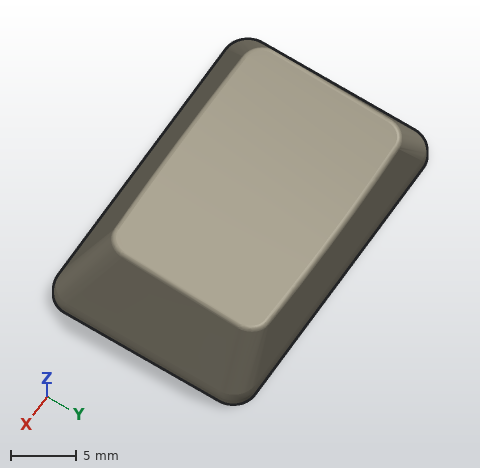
import cadquery as cq
import math

length = 27.7
width = 18.16
base_corner_radius = 2.0
skirt_height = 0.66
blend_top_height = 1.33

wall_bend_height = (skirt_height + blend_top_height) / 2

side_lean = 25.6
front_lean = 28.0
back_lean = 5.0
loft_top_height = 8.85
loft_corner_radius = 1.77

dish_radius = 80.3
dish_tilt = 3.2
dish_center_height = 6.8
dish_reach = 55.38

rim_search_height = 5.55
top_edge_radius = 0.42


def rounded_rectangle(x_size, y_size, corner_radius):
    return cq.Sketch().rect(x_size, y_size).vertices().fillet(corner_radius)


def wall_section(height, lean_height, tilt=0.0):
    """Rounded outline in a plane crossing the Z axis at height and dropping toward the back by tilt.

    The walls are moved in by lean_height of straight lean, corrected where the tilt
    lifts the front edge and lowers the back edge.
    """
    drop = math.tan(math.radians(tilt))
    side_slope = math.tan(math.radians(side_lean))
    front_slope = math.tan(math.radians(front_lean))
    back_slope = math.tan(math.radians(back_lean))
    front_lean_height = (lean_height + drop * width / 2) / (1 + drop * front_slope)
    back_lean_height = (lean_height - drop * width / 2) / (1 - drop * back_slope)
    front_y = -width / 2 + front_slope * front_lean_height
    back_y = width / 2 - back_slope * back_lean_height
    center_y = (front_y + back_y) / 2

    taper = lean_height / (loft_top_height - wall_bend_height)
    corner_radius = base_corner_radius + taper * (loft_corner_radius - base_corner_radius)
    outline = rounded_rectangle(
        length - 2 * side_slope * lean_height,
        (back_y - front_y) / math.cos(math.radians(tilt)),
        corner_radius,
    )
    center = cq.Vector(0, center_y, height - drop * center_y)
    return outline.moved(cq.Location(center, cq.Vector(1, 0, 0), -tilt))


def make_skirt():
    return cq.Workplane("XY").placeSketch(wall_section(0, 0)).extrude(skirt_height)


def make_blend():
    """Curved band whose parabolic profile is tangent to the skirt and to the walls."""
    middle_height = (skirt_height + blend_top_height) / 2
    top_lean = blend_top_height - wall_bend_height
    middle_lean = top_lean / 4
    sections = (
        wall_section(skirt_height, 0),
        wall_section(middle_height, middle_lean),
        wall_section(blend_top_height, top_lean),
    )
    return cq.Workplane("XY").placeSketch(*sections).loft()


def make_walls():
    sections = (
        wall_section(blend_top_height, blend_top_height - wall_bend_height),
        wall_section(loft_top_height, loft_top_height - wall_bend_height, dish_tilt),
    )
    return cq.Workplane("XY").placeSketch(*sections).loft(ruled=True)


def make_dish_cutter():
    cylinder = cq.Workplane("XZ").circle(dish_radius).extrude(dish_reach / 2, both=True)
    cylinder = cylinder.translate((0, 0, dish_radius))
    tilted = cylinder.rotate((0, 0, 0), (1, 0, 0), -dish_tilt)
    return tilted.translate((0, 0, dish_center_height))


body = make_skirt().union(make_blend()).union(make_walls())
body = body.cut(make_dish_cutter())

dished_top = body.faces(cq.selectors.BoxSelector(
    (-length, -width, rim_search_height), (length, width, loft_top_height)
))
result = dished_top.edges().fillet(top_edge_radius)